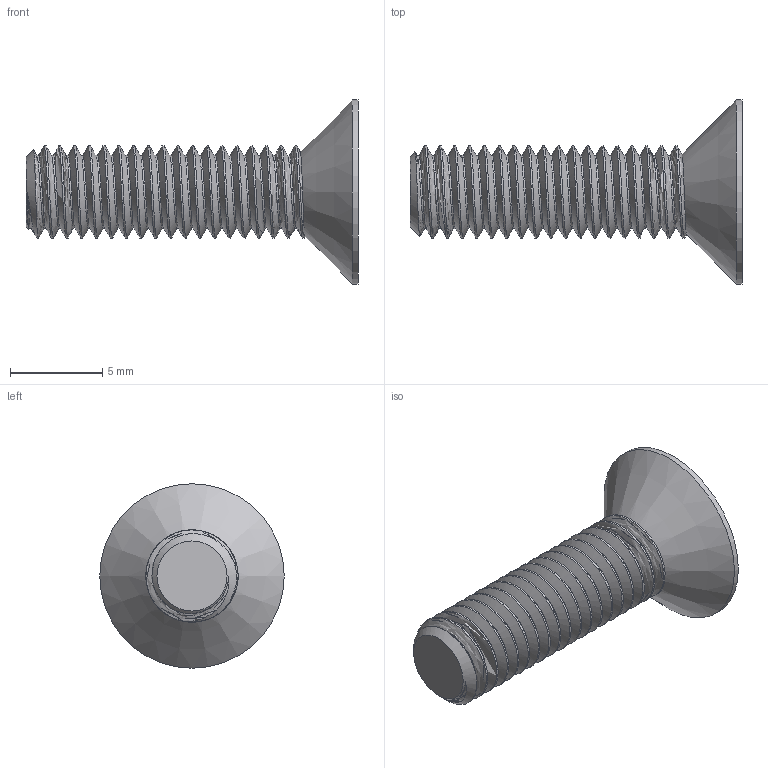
import cadquery as cq
import math

overall_length = 18.0
thread_diameter = 5.0
core_diameter = 3.96
pitch = 0.8
flank_half_angle = math.radians(30)
crest_flat = pitch / 8
crest_offset = 0.83

tip_diameter = 3.8

head_diameter = 10.0
head_rim = 0.3

thread_radius = thread_diameter / 2
core_radius = core_diameter / 2
tip_radius = tip_diameter / 2
head_radius = head_diameter / 2
root_overlap = 0.04
lead_in_turns = 2

cone_base = overall_length - head_rim
cone_start = cone_base - (head_radius - core_radius)
thread_runout = cone_base - (head_radius - thread_radius)


def make_core():
    """Root cylinder, 45 degree head cone and rim as one revolved body."""
    return (
        cq.Workplane("XZ")
        .lineTo(core_radius, 0)
        .lineTo(core_radius, cone_start)
        .lineTo(head_radius, cone_base)
        .lineTo(head_radius, overall_length)
        .lineTo(0, overall_length)
        .close()
        .revolve()
    )


def make_thread():
    """Right-handed 60 degree ridge from below the tip to inside the head cone."""
    start = crest_offset - lead_in_turns * pitch
    height = thread_runout + pitch - start
    inner_radius = core_radius - root_overlap
    crest_half = crest_flat / 2
    root_half = crest_half + (thread_radius - inner_radius) * math.tan(flank_half_angle)

    path = cq.Workplane(cq.Wire.makeHelix(pitch, height, core_radius, cq.Vector(0, 0, start)))
    return (
        cq.Workplane("XZ")
        .moveTo(inner_radius, start - root_half)
        .lineTo(thread_radius, start - crest_half)
        .lineTo(thread_radius, start + crest_half)
        .lineTo(inner_radius, start + root_half)
        .close()
        .sweep(path, isFrenet=True)
    )


def make_tip_envelope():
    """Blank that trims the tip flat and chamfers it at 45 degrees."""
    return (
        cq.Workplane("XZ")
        .lineTo(tip_radius, 0)
        .lineTo(head_radius, head_radius - tip_radius)
        .lineTo(head_radius, overall_length)
        .lineTo(0, overall_length)
        .close()
        .revolve()
    )


upright_screw = make_core().union(make_thread()).intersect(make_tip_envelope())

result = upright_screw.rotate((0, 0, 0), (1, 1, 1), 120)